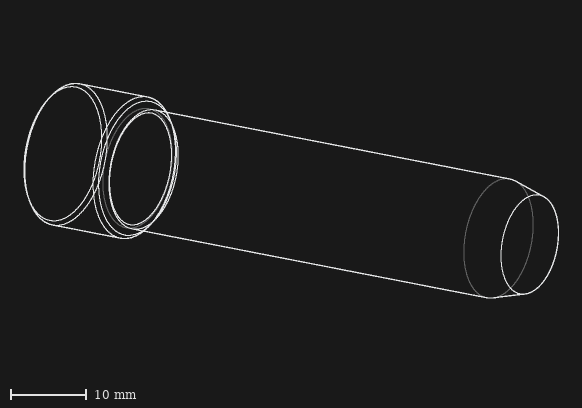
import cadquery as cq
import math

length = 75.0
head_diameter = 19.0
head_length = 12.0
head_chamfer = 0.5
shank_diameter = 16.0
groove_width = 1.0
groove_depth = groove_width / 2
lead_length = 5.0
lead_angle = 15.0

head_radius = head_diameter / 2
shank_radius = shank_diameter / 2
groove_radius = shank_radius - groove_depth
tip_radius = shank_radius - lead_length * math.tan(math.radians(lead_angle))

head_start = -length / 2
head_end = head_start + head_length
groove_end = head_end + groove_width
tip_end = length / 2
lead_start = tip_end - lead_length

groove_middle = (head_end + groove_end) / 2

profile = (
    cq.Workplane("XZ")
    .moveTo(head_start, 0)
    .lineTo(head_start, head_radius - head_chamfer)
    .lineTo(head_start + head_chamfer, head_radius)
    .lineTo(head_end - head_chamfer, head_radius)
    .lineTo(head_end, head_radius - head_chamfer)
    .lineTo(head_end, shank_radius)
    .threePointArc((groove_middle, groove_radius), (groove_end, shank_radius))
    .lineTo(lead_start, shank_radius)
    .lineTo(tip_end, tip_radius)
    .lineTo(tip_end, 0)
    .close()
)

result = profile.revolve(360, (0, 0, 0), (1, 0, 0))